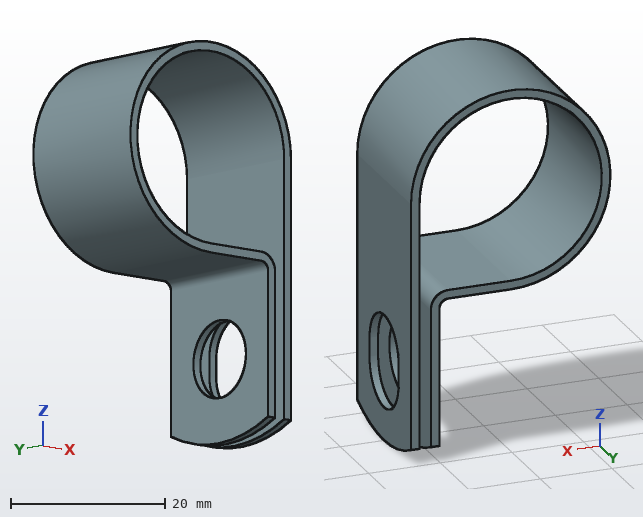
import cadquery as cq
import math

height = 50.4
band_width = 19.05
thickness = 1.2
loop_radius = 13.9
leg_gap = 1.55
bend_inner_radius = 1.2
hole_diameter = 10.3
slot_length = 12.9
hole_height = 11.1
tip_rise = 2.15

loop_inner_radius = loop_radius - thickness
leg_bottom = loop_radius - height
short_leg_outer = loop_inner_radius - leg_gap
short_leg_inner = short_leg_outer - thickness
bend_outer_radius = bend_inner_radius + thickness
bend_x = short_leg_inner - bend_inner_radius
bend_z = -loop_radius - bend_inner_radius
tip_radius = ((band_width / 2) ** 2 + tip_rise**2) / (2 * tip_rise)
diagonal = math.sqrt(0.5)


def bent_strip():
    """Strip of constant thickness: long leg, loop, bend and short leg."""
    profile = (
        cq.Workplane("XZ")
        .moveTo(loop_radius, leg_bottom)
        .lineTo(loop_radius, 0)
        .threePointArc((-loop_radius * diagonal, loop_radius * diagonal), (0, -loop_radius))
        .lineTo(bend_x, -loop_radius)
        .threePointArc(
            (bend_x + bend_inner_radius * diagonal, bend_z + bend_inner_radius * diagonal),
            (short_leg_inner, bend_z),
        )
        .lineTo(short_leg_inner, leg_bottom)
        .lineTo(short_leg_outer, leg_bottom)
        .lineTo(short_leg_outer, bend_z)
        .threePointArc(
            (bend_x + bend_outer_radius * diagonal, bend_z + bend_outer_radius * diagonal),
            (bend_x, -loop_inner_radius),
        )
        .lineTo(0, -loop_inner_radius)
        .threePointArc(
            (-loop_inner_radius * diagonal, loop_inner_radius * diagonal),
            (loop_inner_radius, 0),
        )
        .lineTo(loop_inner_radius, leg_bottom)
        .close()
    )
    return profile.extrude(band_width / 2, both=True)


def rounded_end_outline():
    """Band outline seen along X, with one arc rounding both leg ends."""
    half_width = band_width / 2
    outline = (
        cq.Workplane("YZ")
        .moveTo(-half_width, loop_radius)
        .lineTo(-half_width, leg_bottom + tip_rise)
        .radiusArc((half_width, leg_bottom + tip_rise), -tip_radius)
        .lineTo(half_width, loop_radius)
        .close()
    )
    return outline.extrude(loop_radius, both=True)


def short_leg_hole():
    """Round screw hole through the short leg."""
    return (
        cq.Workplane("YZ", origin=(short_leg_inner, 0, leg_bottom + hole_height))
        .circle(hole_diameter / 2)
        .extrude(thickness)
    )


def long_leg_slot():
    """Upright slot through the long leg, centred on the screw hole."""
    return (
        cq.Workplane("YZ", origin=(loop_inner_radius, 0, leg_bottom + hole_height))
        .slot2D(slot_length, hole_diameter, 90)
        .extrude(thickness)
    )


result = bent_strip().intersect(rounded_end_outline()).cut(short_leg_hole()).cut(long_leg_slot())